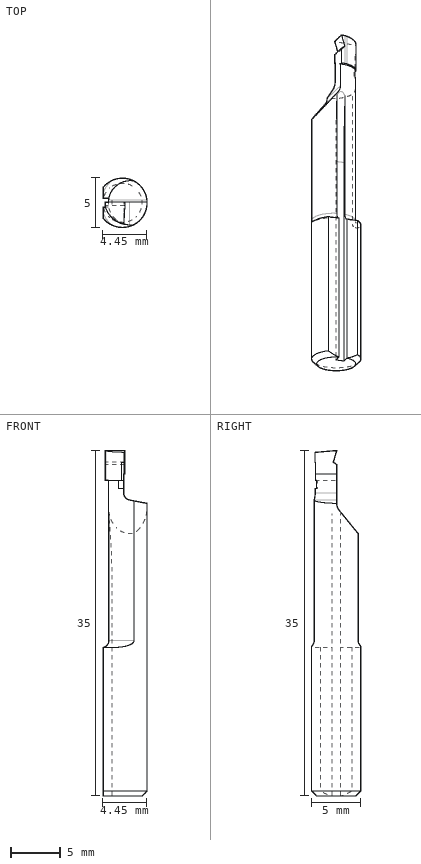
import cadquery as cq
import math

total_length = 35.0
shank_radius = 2.502
shank_flat_x = shank_radius - 4.45
bottom_chamfer = 0.52

neck_radius = 2.25
neck_axis_x = 0.8
neck_left_x = neck_axis_x - neck_radius
neck_start_z = 15.75
neck_fillet = 0.7

head_base_z = 31.95
head_left_x = -1.75
head_front_y = -2.17
head_arc_mid = (-0.85, -1.698)
rake_y = 0.07
tip_x = 0.28
heel_x = 0.15
stem_right_x = 0.15
tip_base_z = 32.62
top_drop = 0.192
land_width = 0.4
bevel_width = 0.25
bevel_inset = 0.07
heel_step_y = -2.1
heel_step_z = 33.78

relief_left_x = -0.4
relief_left_y = -1.9
relief_right_y = -2.0
relief_base_z = 31.15

breaker_depth = 0.35
breaker_low_z = 33.55
breaker_deep_z = 33.8

rake_foot_z = 29.22
slope_back_z = 26.55
rake_fillet = 1.05
side_foot_z = 30.1
side_end_z = 29.65
side_fillet = 0.7

slot_width = 0.88
slot_floor_x = -1.05
slot_straight_z = 21.5
slot_end_z = 28.98

margin = 0.7
far = shank_radius + margin
above = total_length + margin


def prism(workplane, points, start, end):
    """Extrude a closed polygon between two offsets along its plane normal."""
    return workplane.workplane(offset=start).polyline(points).close().extrude(end - start)


def make_shank():
    shank = cq.Workplane("XY").circle(shank_radius).extrude(total_length)
    shank = shank.faces("<Z").chamfer(bottom_chamfer)
    flat_depth = shank_radius + shank_flat_x
    flat = cq.Workplane("XY").box(flat_depth, 2 * far, total_length, centered=(False, True, False))
    return shank.cut(flat.translate((-shank_radius, 0, 0)))


def neck_turning():
    """Ring around the neck axis, with a concave quarter-round at its lower inner edge."""
    outer = neck_radius + 2 * far
    shoulder_z = neck_start_z - neck_fillet
    diagonal = neck_fillet * math.sqrt(0.5)
    arc_centre_x = neck_radius + neck_fillet
    profile = (
        cq.Workplane("XZ")
        .moveTo(neck_radius, above)
        .lineTo(neck_radius, neck_start_z)
        .threePointArc((arc_centre_x - diagonal, neck_start_z - diagonal), (arc_centre_x, shoulder_z))
        .lineTo(outer, shoulder_z)
        .lineTo(outer, above)
        .close()
    )
    return profile.revolve(360, (0, 0, 0), (0, 1, 0)).translate((neck_axis_x, 0, 0))


def rake_clearance():
    """Removes the +Y half above a sloping run-out."""
    slope = (slope_back_z - rake_foot_z) / (neck_radius - rake_y)
    far_z = rake_foot_z + slope * (far - rake_y)
    points = [(rake_y, above), (rake_y, rake_foot_z), (far, far_z), (far, above)]
    return prism(cq.Workplane("YZ"), points, -far, far).edges(
        cq.selectors.NearestToPointSelector((0, rake_y, rake_foot_z))
    ).fillet(rake_fillet)


def side_clearance():
    """Removes the +X side of the stem above a gently sloping shoulder."""
    slope = (side_end_z - side_foot_z) / (shank_radius - stem_right_x)
    far_z = side_foot_z + slope * (far - stem_right_x)
    points = [(stem_right_x, above), (stem_right_x, side_foot_z), (far, far_z), (far, above)]
    return prism(cq.Workplane("XZ"), points, -far, far).edges(
        cq.selectors.NearestToPointSelector((stem_right_x, 0, side_foot_z))
    ).fillet(side_fillet)


def neck_relief():
    """Slanted flat on the -Y side of the neck, just below the head."""
    points = [
        (relief_left_x, relief_left_y),
        (stem_right_x, relief_right_y),
        (stem_right_x, -far),
        (relief_left_x, -far),
    ]
    return prism(cq.Workplane("XY"), points, relief_base_z, head_base_z)


def make_head():
    head = (
        cq.Workplane("XY", origin=(0, 0, head_base_z))
        .moveTo(tip_x, rake_y)
        .lineTo(head_left_x, rake_y)
        .lineTo(head_left_x, rake_y - land_width)
        .lineTo(head_left_x + bevel_inset, rake_y - land_width - bevel_width)
        .threePointArc(head_arc_mid, (heel_x, head_front_y))
        .close()
        .extrude(total_length - head_base_z)
    )
    below_tip = cq.Workplane("XY").box(far, 2 * far, tip_base_z - head_base_z, centered=(False, True, False))
    head = head.cut(below_tip.translate((stem_right_x, 0, head_base_z)))
    heel_step = cq.Workplane("XY").box(2 * far, far, heel_step_z - head_base_z, centered=(True, False, False))
    head = head.cut(heel_step.translate((0, heel_step_y - far, head_base_z)))
    top_relief = [
        (rake_y, total_length),
        (head_front_y, total_length - top_drop),
        (head_front_y, above),
        (rake_y, above),
    ]
    return head.cut(prism(cq.Workplane("YZ"), top_relief, -far, far))


def chip_breaker():
    points = [
        (rake_y, total_length),
        (rake_y - breaker_depth, breaker_deep_z),
        (rake_y, breaker_low_z),
    ]
    return prism(cq.Workplane("YZ"), points, -far, far)


def coolant_slot():
    runout_length = slot_end_z - slot_straight_z
    runout_rise = slot_floor_x - neck_left_x
    runout_radius = (runout_length**2 + runout_rise**2) / (2 * runout_rise)
    mid_angle = math.asin(runout_length / runout_radius) / 2
    runout_mid = (
        slot_floor_x - runout_radius * (1 - math.cos(mid_angle)),
        slot_straight_z + runout_radius * math.sin(mid_angle),
    )
    return (
        cq.Workplane("XZ")
        .moveTo(-far, 0)
        .lineTo(slot_floor_x, 0)
        .lineTo(slot_floor_x, slot_straight_z)
        .threePointArc(runout_mid, (neck_left_x, slot_end_z))
        .lineTo(-far, slot_end_z)
        .close()
        .extrude(slot_width / 2, both=True)
    )


stem_top = cq.Workplane("XY", origin=(0, 0, head_base_z)).rect(2 * far, 2 * far).extrude(above - head_base_z)

result = make_shank().cut(neck_turning()).cut(stem_top)
result = result.cut(rake_clearance()).cut(side_clearance()).cut(neck_relief())
result = result.cut(coolant_slot())
result = result.union(make_head()).cut(chip_breaker())